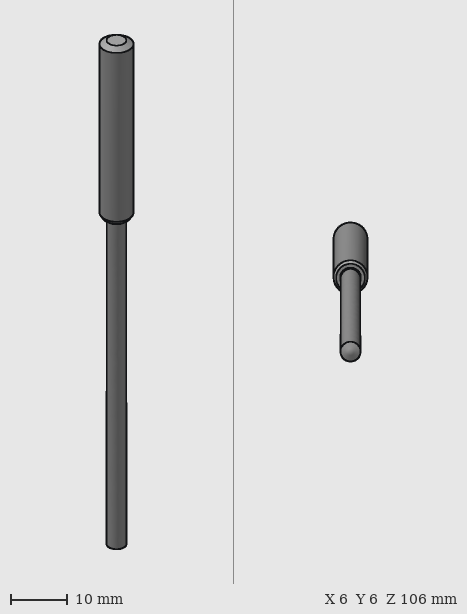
import cadquery as cq

total_length = 106.0

handle_radius = 6.0 / 2
handle_length = 37.4
handle_top_radius = 3.5 / 2
top_bevel_height = 0.7
bottom_bevel_height = 0.7
underside_radius = 2.5
stub_radius = 3.7 / 2
stub_height = 0.6

collar_radius = 3.5 / 2
neck_flare = 0.005
neck_end_radius = collar_radius + neck_flare
rod_flare = 0.03
rod_end_radius = neck_end_radius + rod_flare
collar_length = 4.7
neck_length = 9.5

tip_height = 0.6

handle_bottom = total_length - handle_length
collar_bottom = handle_bottom - collar_length
neck_bottom = collar_bottom - neck_length


def revolve_profile(points):
    """Turn a closed (radius, height) outline around the Z axis."""
    return cq.Workplane("XZ").polyline(points).close().revolve(360, (0, 0, 0), (0, 1, 0))


def make_handle():
    """Grip with bevelled ends and a short tapered stub below that meets the shaft."""
    underside = handle_bottom + stub_height
    return revolve_profile([
        (0, handle_bottom),
        (collar_radius, handle_bottom),
        (stub_radius, underside),
        (underside_radius, underside),
        (handle_radius, underside + bottom_bevel_height),
        (handle_radius, total_length - top_bevel_height),
        (handle_top_radius, total_length),
        (0, total_length),
    ])


def make_shaft():
    """Collar, neck and rod in one piece, with a conical point at the lower end."""
    return revolve_profile([
        (0, 0),
        (rod_end_radius, tip_height),
        (neck_end_radius, neck_bottom),
        (collar_radius, collar_bottom),
        (collar_radius, handle_bottom),
        (0, handle_bottom),
    ])


handle = make_handle()
shaft = make_shaft()
result = cq.Compound.makeCompound([handle.val(), shaft.val()])